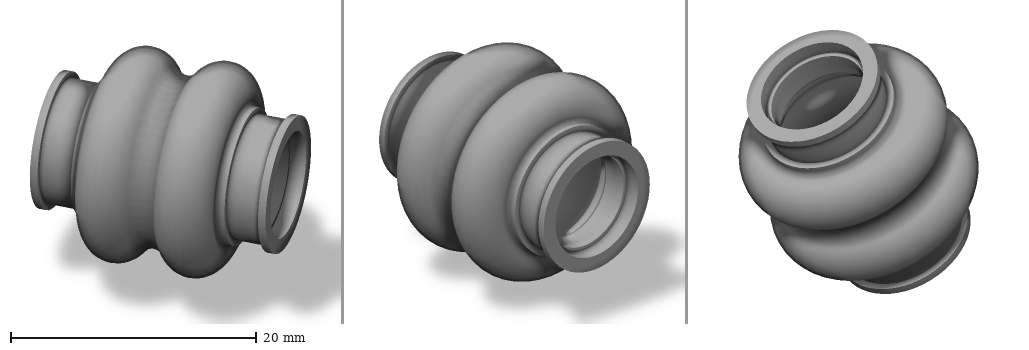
import cadquery as cq
import math

length = 20.32
outer_radius = 9.0
middle = length / 2

flange_width = 0.65
flange_radius = 5.77
neck_radius = 5.25
bore_radius = 4.12
mouth_radius = 4.5
mouth_depth = 1.36

collar_start = 3.54
collar_radius = flange_radius
crown_position = 6.79
crown_arc = 2.5
valley_radius = 7.21
root_fillet = 0.37
wall = collar_radius - mouth_radius

crown_center_radius = outer_radius - crown_arc
root_center_radius = collar_radius + root_fillet
root_drop = crown_center_radius - root_center_radius
root_angle = math.asin(root_drop / (crown_arc + root_fillet))
root_start = crown_position - (crown_arc + root_fillet) * math.cos(root_angle)

crown_offset = middle - crown_position
valley_drop = valley_radius - crown_center_radius
valley_arc = (crown_offset**2 + valley_drop**2 - crown_arc**2) / (2 * (crown_arc - valley_drop))
valley_center_radius = valley_radius + valley_arc
valley_angle = math.atan2(valley_center_radius - crown_center_radius, crown_offset)


def arc_point(center, arc, angle):
    """Point of an arc at the given angle."""
    return (center[0] + arc * math.cos(angle), center[1] + arc * math.sin(angle))


def add_convolutions(profile, inset):
    """Continue a profile from root to root along the skin, moved inward by inset."""
    root = root_fillet + inset
    crown = crown_arc - inset
    valley = valley_arc + inset
    left_root = (root_start, root_center_radius)
    left_crown = (crown_position, crown_center_radius)
    right_root = (length - root_start, root_center_radius)
    right_crown = (length - crown_position, crown_center_radius)
    valley_center = (middle, valley_center_radius)
    root_mid_angle = (root_angle - math.pi / 2) / 2
    crown_mid_angle = (math.pi + root_angle + valley_angle) / 2

    return (
        profile.lineTo(root_start, root_center_radius - root)
        .threePointArc(arc_point(left_root, root, root_mid_angle), arc_point(left_root, root, root_angle))
        .threePointArc(
            arc_point(left_crown, crown, crown_mid_angle),
            arc_point(left_crown, crown, valley_angle),
        )
        .threePointArc(
            arc_point(valley_center, valley, -math.pi / 2),
            arc_point(valley_center, valley, -valley_angle),
        )
        .threePointArc(
            arc_point(right_crown, crown, math.pi - crown_mid_angle),
            arc_point(right_crown, crown, -root_angle),
        )
        .threePointArc(
            arc_point(right_root, root, math.pi - root_mid_angle),
            (length - root_start, root_center_radius - root),
        )
    )


def revolved(profile):
    """Close a half profile along the X axis and turn it into a solid."""
    return profile.close().revolve(360, (0, 0, 0), (1, 0, 0))


def make_outside():
    """Solid envelope of the flanges, necks, collars and bellows."""
    profile = (
        cq.Workplane("XY")
        .lineTo(0, flange_radius)
        .lineTo(flange_width, flange_radius)
        .lineTo(flange_width, neck_radius)
        .lineTo(collar_start, neck_radius)
        .lineTo(collar_start, collar_radius)
    )
    profile = (
        add_convolutions(profile, 0)
        .lineTo(length - collar_start, collar_radius)
        .lineTo(length - collar_start, neck_radius)
        .lineTo(length - flange_width, neck_radius)
        .lineTo(length - flange_width, flange_radius)
        .lineTo(length, flange_radius)
        .lineTo(length, 0)
    )
    return revolved(profile)


def make_cavity():
    """Wider mouths, bores and the hollow inside of the bellows skin."""
    profile = (
        cq.Workplane("XY")
        .lineTo(0, mouth_radius)
        .lineTo(mouth_depth, mouth_radius)
        .lineTo(mouth_depth, bore_radius)
        .lineTo(collar_start, bore_radius)
        .lineTo(collar_start, mouth_radius)
    )
    profile = (
        add_convolutions(profile, wall)
        .lineTo(length - collar_start, mouth_radius)
        .lineTo(length - collar_start, bore_radius)
        .lineTo(length - mouth_depth, bore_radius)
        .lineTo(length - mouth_depth, mouth_radius)
        .lineTo(length, mouth_radius)
        .lineTo(length, 0)
    )
    return revolved(profile)


result = make_outside().cut(make_cavity())